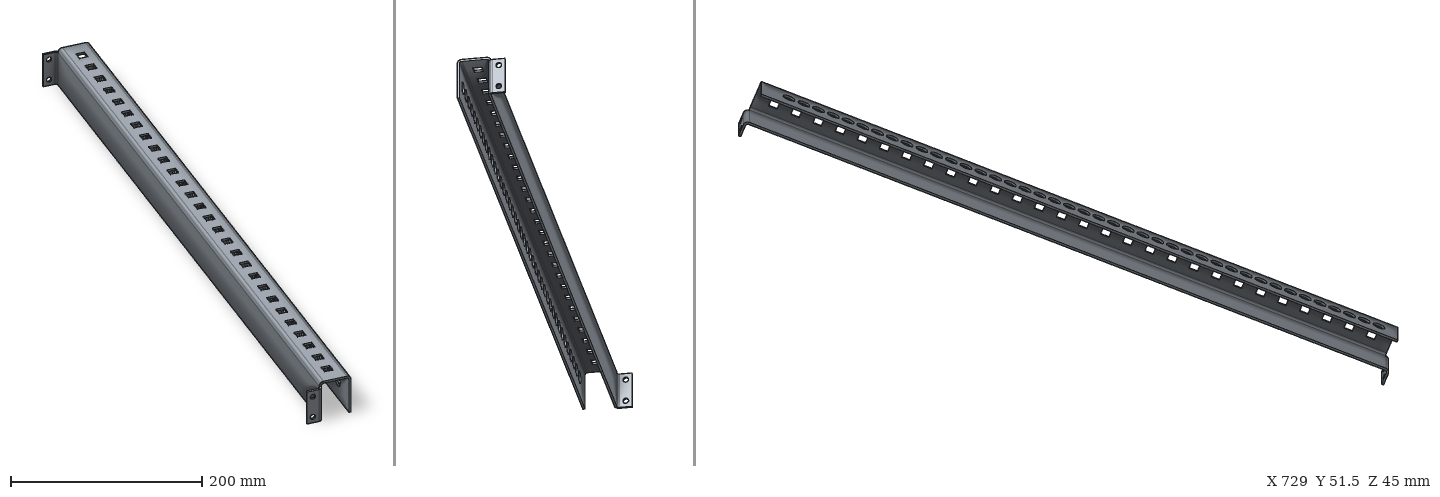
import cadquery as cq
import math

length = 729.0
sheet = 2.5
inner_bend = 2.5
outer_bend = inner_bend + sheet

top_flat = 26.0
wall_flat = 40.0
channel_width = top_flat + 2 * outer_bend
channel_height = wall_flat + outer_bend
channel_length = length - 2 * outer_bend
front_y = -channel_width / 2
back_y = channel_width / 2

flange_flat = 13.0
flange_height = 39.5
flange_tip_y = front_y - inner_bend - flange_flat
flange_hole_diameter = 6.0
flange_hole_spacing = 25.0
flange_hole_edge = 6.5

top_hole_count = 28
top_hole_size = 9.5
top_row_span = 675.0
top_pitch = top_row_span / (top_hole_count - 1)

back_hole_count = 41
back_hole_diameter = 13.0
back_pitch = top_pitch * 2 / 3
back_row_start = -338.0
back_row_height = 22.0


def channel():
    """Inverted U along X, with its two upper corners rounded inside and outside."""
    outer = (
        cq.Workplane("XY")
        .box(channel_length, channel_width, channel_height, centered=(True, True, False))
        .edges("|X and >Z")
        .fillet(outer_bend)
    )
    inner = (
        cq.Workplane("XY")
        .box(
            channel_length,
            channel_width - 2 * sheet,
            channel_height - sheet,
            centered=(True, True, False),
        )
        .edges("|X and >Z")
        .fillet(inner_bend)
    )
    return outer.cut(inner)


def right_flange():
    """Flange at the +X end: a quarter bend from the front wall, a flat tab and two holes."""
    bend_x = channel_length / 2
    bend_y = front_y - inner_bend
    end_x = length / 2
    outer_mid = outer_bend * math.sqrt(0.5)
    inner_mid = inner_bend * math.sqrt(0.5)
    flange = (
        cq.Workplane("XY")
        .moveTo(bend_x, front_y + sheet)
        .threePointArc((bend_x + outer_mid, bend_y + outer_mid), (end_x, bend_y))
        .lineTo(end_x, flange_tip_y)
        .lineTo(end_x - sheet, flange_tip_y)
        .lineTo(end_x - sheet, bend_y)
        .threePointArc((bend_x + inner_mid, bend_y + inner_mid), (bend_x, front_y))
        .close()
        .extrude(flange_height)
    )
    hole_y = flange_tip_y + flange_hole_edge
    hole_z = flange_height / 2
    holes = (
        cq.Workplane("YZ", origin=(bend_x, hole_y, hole_z))
        .rarray(7, flange_hole_spacing, 1, 2)
        .circle(flange_hole_diameter / 2)
        .extrude(2 * outer_bend)
    )
    return flange.cut(holes)


def top_holes():
    """Cutters for the square holes, reaching through the top only."""
    return (
        cq.Workplane("XY", origin=(0, 0, channel_height - 2 * sheet))
        .rarray(top_pitch, 7, top_hole_count, 1)
        .rect(top_hole_size, top_hole_size)
        .extrude(3 * sheet)
    )


def back_holes():
    """Cutters for the round holes, reaching through the back wall only."""
    centres = [(back_row_start + i * back_pitch, back_row_height) for i in range(back_hole_count)]
    return (
        cq.Workplane("XZ", origin=(0, back_y + sheet, 0))
        .pushPoints(centres)
        .circle(back_hole_diameter / 2)
        .extrude(3 * sheet)
    )


flange = right_flange()
result = channel().union(flange).union(flange.mirror("YZ"))
result = result.cut(top_holes()).cut(back_holes())